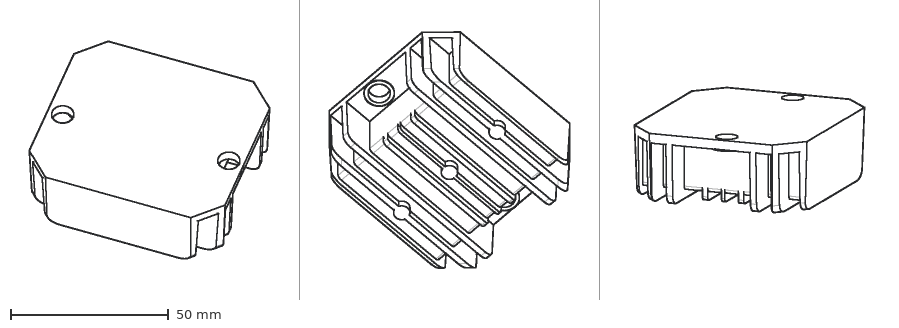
import cadquery as cq

length = 66.0
width = 59.0
height = 23.05
corner_chamfer = 8.5
draft_angle = 2.0
plate_thickness = 3.2
fin_end_radius = 3.2

middle_bay_half_width = 13.25
fin_thickness = 2.1
fin_gap = 5.0
fin_pitch = fin_thickness + fin_gap
fins_per_side = 3
outer_fin_inner_y = middle_bay_half_width + (fins_per_side - 1) * fin_pitch

core_length = 45.0
core_width = 2 * outer_fin_inner_y
core_depth = 20.2
core_end_radius = 1.4
side_rib_y = 6.15
side_rib_thickness = 1.85
middle_rib_thickness = 1.1

pad_diameter = 5.2
pad_y = middle_bay_half_width + fin_pitch + fin_thickness / 2

hole_diameter = 7.0
hole_x = 28.0
hole_y = -3.5
collar_diameter = 9.65
collar_height = 0.4


def block_from_top(x_size, y_size, y_center, depth):
    """Block centred on X that reaches from the top face down to depth."""
    block = cq.Workplane("XY").box(x_size, y_size, depth, centered=(True, True, False))
    return block.translate((0, y_center, -depth))


def cylinder_from_top(x, y, diameter, depth):
    """Upright cylinder that reaches from the top face down to depth."""
    return cq.Workplane("XY").center(x, y).circle(diameter / 2).extrude(-depth)


def round_ended_bar(y_center, thickness, depth):
    """Bar as long as the core, with its two lower end edges rounded."""
    bar = block_from_top(core_length, thickness, y_center, depth)
    return bar.edges("<Z and |Y").fillet(core_end_radius)


def drafted_envelope():
    """Octagon narrowing downwards, its lower edges rounded except along the two long Y faces."""
    end_x = length / 2
    side_y = width / 2
    corner_x = end_x - corner_chamfer
    corner_y = side_y - corner_chamfer
    outline = [
        (end_x, -corner_y),
        (end_x, corner_y),
        (corner_x, side_y),
        (-corner_x, side_y),
        (-end_x, corner_y),
        (-end_x, -corner_y),
        (-corner_x, -side_y),
        (corner_x, -side_y),
    ]
    solid = cq.Workplane("XY").polyline(outline).close().extrude(-height, taper=draft_angle)
    return solid.faces("<Z").edges("not |X").fillet(fin_end_radius)


def plate_and_fins():
    """Plate with full-length fins; the outermost fins run out to the drafted side faces."""
    blank = block_from_top(length, width, 0, plate_thickness)
    for index in range(fins_per_side):
        inner_y = middle_bay_half_width + index * fin_pitch
        outer_y = min(inner_y + fin_thickness, width / 2)
        for side in (-1, 1):
            fin_y = side * (inner_y + outer_y) / 2
            blank = blank.union(block_from_top(length, outer_y - inner_y, fin_y, height))
    return drafted_envelope().intersect(blank)


result = plate_and_fins()

result = result.union(round_ended_bar(0, core_width, core_depth))
result = result.union(round_ended_bar(0, middle_rib_thickness, height))
for side in (-1, 1):
    result = result.union(round_ended_bar(side * side_rib_y, side_rib_thickness, height))

for y in (-pad_y, 0, pad_y):
    result = result.union(cylinder_from_top(0, y, pad_diameter, height))

collar_depth = plate_thickness + collar_height
envelope = drafted_envelope()
for x in (-hole_x, hole_x):
    collar = cylinder_from_top(x, hole_y, collar_diameter, collar_depth).intersect(envelope)
    result = result.union(collar)
    result = result.cut(cylinder_from_top(x, hole_y, hole_diameter, collar_depth))